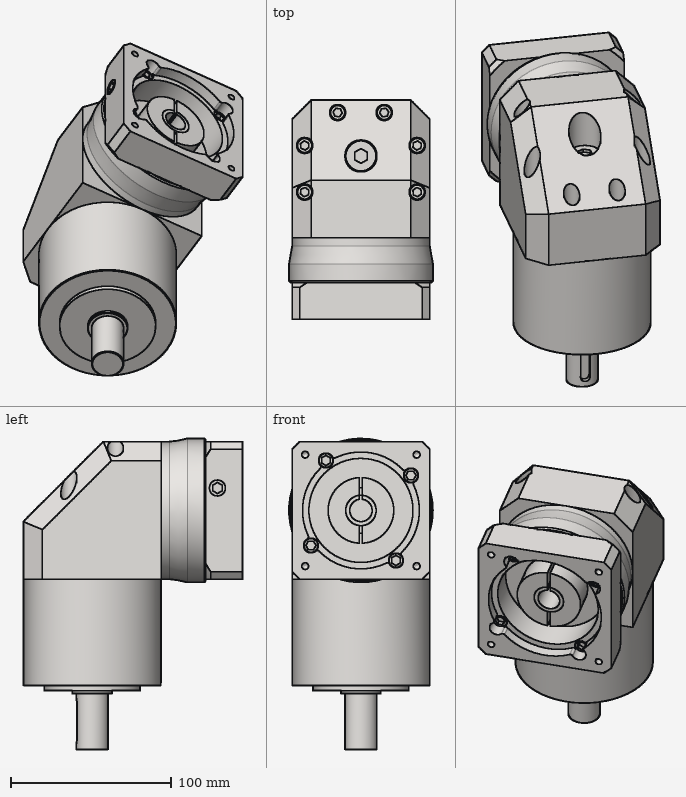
import cadquery as cq
import math


width = 86.0
half = width / 2

corner_cut = 12.0
slope_reach = 36.0

casing_bottom = -109.5
pilot_bottom = -112.5
collar_bottom = -114.5
shaft_bottom = -149.5
casing_chamfer = 0.5
pilot_radius = 30.0
collar_radius = 12.5
collar_chamfer = 0.3
shaft_radius = 10.0
shaft_chamfer = 0.5
keyway_width = 6.0
keyway_depth = 3.5
keyway_length = 28.0
keyway_center = -131.5

cone_start = -48.0
cone_end = -59.3
plate_back = -71.0
input_radius = 45.0
input_chamfer = 1.0

opening_radius = 32.5
opening_floor = -67.5
hub_face = -84.5
hub_radius = 20.5
stem_radius = 14.3
slit_width = 1.8
stem_slit_extra = 4.0
stem_slit_end = opening_floor + stem_slit_extra

bushing_outer = 9.5
bushing_inner = 7.0
bushing_length = 25.0
bushing_end = hub_face + bushing_length

housing_screw_circle = 38.0
housing_screw_first = -22.5
housing_screw_angles = [housing_screw_first + 45.0 * i for i in range(6)]
housing_bore_radius = 5.0
housing_head_radius = 4.4
housing_head_top = -10.0
housing_head_height = 6.0
housing_hex = 5.0
housing_hex_depth = 3.0

hex_point_up = 30.0

plug_y = 8.0
plug_bore_radius = 10.0
plug_radius = 9.4
plug_top = 15.0
plug_gap_depth = 2.0
plug_hex = 8.0
plug_hex_depth = 5.0

plate_front = -94.0
plate_corner_cut = 4.8
plate_cone_radius = 54.5
plate_cone_depth = 3.2
spigot_radius = 35.0
motor_pilot_radius = 36.5
motor_pilot_depth = 7.3
pilot_corner_radius = 1.5
motor_hole_spacing = 69.6
motor_hole_radius = 2.1
motor_hole_depth = 12.0
drill_tip_angle = 118.0

access_y = -78.2
access_z = 14.0
access_radius = 5.0
access_recess = 0.2
access_hex = 6.0
access_hex_depth = 4.0

plate_screw_circle = 38.1
plate_screw_first = 35.0
plate_screw_angles = [plate_screw_first + 90.0 * i for i in range(4)]
counterbore_radius = 4.6
head_radius = 4.3
head_height = 5.0
head_sink = 8.5
head_face = plate_front + head_sink
head_seat = head_face + head_height
shank_radius = 2.5
shank_end = -62.0
screw_hex = 5.5
screw_hex_depth = 3.0


def along_y(radius, start, end, x=0.0, z=0.0):
    """Cylinder parallel to Y between two Y levels."""
    return cq.Workplane("XZ", origin=(x, start, z)).circle(radius).extrude(start - end)


def along_z(radius, bottom, top, x=0.0, y=0.0):
    """Cylinder parallel to Z between two Z levels."""
    return cq.Workplane("XY", origin=(x, y, bottom)).circle(radius).extrude(top - bottom)


def hexagon(plane, across_flats, depth, origin, turn):
    """Hexagonal prism that grows along the normal of its plane."""
    across_corners = across_flats / math.cos(math.pi / 6)
    sketch = cq.Workplane(plane, origin=origin).transformed(rotate=(0, 0, turn))
    return sketch.polygon(6, across_corners).extrude(depth)


def on_circle(radius, angle):
    """Point on a circle, with the angle in degrees."""
    return radius * math.cos(math.radians(angle)), radius * math.sin(math.radians(angle))


def angle_housing():
    """Block with a sloped rear face, cut at 45 degrees along its rear, sloped and top edges."""
    side_profile = [
        (-half, -half),
        (half, -half),
        (half, slope_reach - half),
        (slope_reach - half, half),
        (-half, half),
    ]
    block = cq.Workplane("YZ", origin=(-half, 0, 0)).polyline(side_profile).close().extrude(width)
    slope = cq.selectors.DirectionMinMaxSelector(cq.Vector(0, 1, 1))
    cut_faces = block.faces(">Y or >Z").add(block.faces(slope))
    return cut_faces.edges("<X or >X").chamfer(corner_cut)


def output_end():
    """Round gear casing, pilot, collar and keyed output shaft."""
    casing = along_z(half, casing_bottom, -half).faces("<Z").chamfer(casing_chamfer)
    pilot = along_z(pilot_radius, pilot_bottom, casing_bottom)
    collar = along_z(collar_radius, collar_bottom, pilot_bottom).faces("<Z").chamfer(collar_chamfer)
    shaft = along_z(shaft_radius, shaft_bottom, collar_bottom).faces("<Z").chamfer(shaft_chamfer)
    keyway = (
        cq.Workplane("XZ", origin=(0, shaft_radius, keyway_center))
        .slot2D(keyway_length, keyway_width, 90)
        .extrude(keyway_depth)
    )
    return casing.union(pilot).union(collar).union(shaft).cut(keyway)


def input_end():
    """Flaring input flange with a recess for the plate spigot around the clamp hub."""
    profile = [
        (0, -half),
        (half, -half),
        (half, cone_start),
        (input_radius, cone_end),
        (input_radius, plate_back + input_chamfer),
        (input_radius - input_chamfer, plate_back),
        (0, plate_back),
    ]
    flange = cq.Workplane("XY").polyline(profile).close().revolve(360, (0, 0, 0), (0, 1, 0))
    return flange.cut(along_y(spigot_radius, opening_floor, plate_back))


def clamp_hub():
    return along_y(hub_radius, opening_floor, hub_face)


def hub_slits():
    """Slit across the hub, deeper within the radius of the hollow stem."""
    collar_slit = cq.Workplane("XY").box(
        slit_width, opening_floor - hub_face, 2 * hub_radius, centered=(True, False, True)
    )
    stem_slit = cq.Workplane("XY").box(
        slit_width, stem_slit_end - hub_face, 2 * stem_radius, centered=(True, False, True)
    )
    return collar_slit.union(stem_slit).translate((0, hub_face, 0))


def sunk_head(x, y, top, bore_radius, rim_radius, height, across_flats, hex_depth, turn):
    """Vertical bore from above that leaves a socket head standing at its bottom."""
    bore = along_z(bore_radius, top - height, half, x, y)
    head = along_z(rim_radius, top - height, top, x, y)
    socket = hexagon("XY", across_flats, hex_depth, (x, y, top - hex_depth), turn)
    return bore.cut(head.cut(socket))


def build_gearbox():
    body = angle_housing().union(output_end()).union(input_end()).union(clamp_hub())
    body = body.cut(along_y(bushing_outer, bushing_end, hub_face)).cut(hub_slits())
    for angle in housing_screw_angles:
        x, y = on_circle(housing_screw_circle, angle)
        body = body.cut(
            sunk_head(
                x, y, housing_head_top, housing_bore_radius, housing_head_radius,
                housing_head_height, housing_hex, housing_hex_depth, angle,
            )
        )
    body = body.cut(
        sunk_head(
            0, plug_y, plug_top, plug_bore_radius, plug_radius,
            plug_gap_depth, plug_hex, plug_hex_depth, hex_point_up,
        )
    )
    for angle in plate_screw_angles:
        x, z = on_circle(plate_screw_circle, angle)
        body = body.cut(along_y(shank_radius, shank_end, plate_back, x, z))
    return body


def corner_cone():
    """Solid of revolution that bevels the plate's rear corners and passes the rest."""
    beyond = width
    rim = plate_cone_radius + plate_cone_depth
    profile = [
        (0, plate_back),
        (plate_cone_radius, plate_back),
        (rim, plate_back - plate_cone_depth),
        (beyond, plate_back - plate_cone_depth),
        (beyond, plate_front),
        (0, plate_front),
    ]
    return cq.Workplane("XY").polyline(profile).close().revolve(360, (0, 0, 0), (0, 1, 0))


def motor_pilot():
    """Round recess for the motor's pilot, with rounded corners where it breaks into the counterbores."""
    floor = plate_front + motor_pilot_depth
    recess = along_y(motor_pilot_radius, floor, plate_front)
    for angle in plate_screw_angles:
        x, z = on_circle(plate_screw_circle, angle)
        recess = recess.union(along_y(counterbore_radius, floor, plate_front, x, z))
    crossing = (motor_pilot_radius**2 + plate_screw_circle**2 - counterbore_radius**2) / (
        2 * motor_pilot_radius * plate_screw_circle
    )
    spread = math.degrees(math.acos(crossing))
    corner_edges = []
    for angle in plate_screw_angles:
        for corner_angle in (angle - spread, angle + spread):
            x, z = on_circle(motor_pilot_radius, corner_angle)
            corner = (x, (floor + plate_front) / 2, z)
            corner_edges.append(recess.edges(cq.NearestToPointSelector(corner)).val())
    return recess.newObject(corner_edges).fillet(pilot_corner_radius)


def motor_hole(x, z):
    """Blind drilled hole with a conical tip."""
    bottom = plate_front + motor_hole_depth
    tip = motor_hole_radius / math.tan(math.radians(drill_tip_angle / 2))
    profile = [
        (0, plate_front),
        (motor_hole_radius, plate_front),
        (motor_hole_radius, bottom),
        (0, bottom + tip),
    ]
    hole = cq.Workplane("XY").polyline(profile).close().revolve(360, (0, 0, 0), (0, 1, 0))
    return hole.translate((x, 0, z))


def access_plug_recess():
    """Shallow round recess with a hexagon socket in the -X side."""
    center = (-half, access_y, access_z)
    recess = cq.Workplane("YZ", origin=center).circle(access_radius).extrude(access_recess)
    return recess.union(hexagon("YZ", access_hex, access_hex_depth, center, hex_point_up))


def build_motor_plate():
    thickness = plate_back - plate_front
    plate = cq.Workplane("XZ", origin=(0, plate_back, 0)).rect(width, width).extrude(thickness)
    plate = plate.edges("|Y").chamfer(plate_corner_cut).intersect(corner_cone())
    plate = plate.union(along_y(spigot_radius, opening_floor, plate_back))
    plate = plate.cut(along_y(opening_radius, opening_floor, plate_front)).cut(motor_pilot())
    for side_x in (-1, 1):
        for side_z in (-1, 1):
            plate = plate.cut(motor_hole(side_x * motor_hole_spacing / 2, side_z * motor_hole_spacing / 2))
    for angle in plate_screw_angles:
        x, z = on_circle(plate_screw_circle, angle)
        plate = plate.cut(along_y(counterbore_radius, head_seat, plate_front, x, z))
        plate = plate.cut(along_y(shank_radius, plate_back, head_seat, x, z))
    return plate.cut(access_plug_recess())


def build_plate_screw(angle):
    x, z = on_circle(plate_screw_circle, angle)
    head = along_y(head_radius, head_seat, head_face, x, z)
    shank = along_y(shank_radius, shank_end, head_seat, x, z)
    socket_floor = (x, head_face + screw_hex_depth, z)
    socket = hexagon("XZ", screw_hex, screw_hex_depth, socket_floor, angle - plate_screw_first)
    return head.union(shank).cut(socket)


def build_bushing():
    """Sleeve inside the hub, flush with the hub face and slit along its top."""
    sleeve = along_y(bushing_outer, bushing_end, hub_face).cut(along_y(bushing_inner, bushing_end, hub_face))
    slit = cq.Workplane("XY", origin=(0, hub_face, 0)).box(
        slit_width, bushing_length, bushing_outer, centered=(True, False, False)
    )
    return sleeve.cut(slit)


gearbox = build_gearbox()
motor_plate = build_motor_plate()
bushing = build_bushing()
plate_screws = [build_plate_screw(angle) for angle in plate_screw_angles]

result = cq.Compound.makeCompound(
    [gearbox.val(), motor_plate.val(), bushing.val(), *[screw.val() for screw in plate_screws]]
)